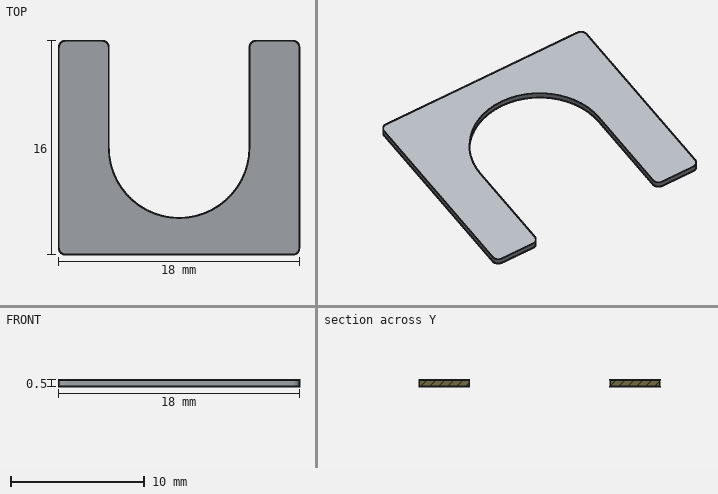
import cadquery as cq

width = 18.0
depth = 16.0
thickness = 0.5
corner_radius = 0.5

slot_width = 10.5
slot_radius = slot_width / 2
slot_center_y = 0.0


def make_plate():
    """Rectangular plate centred on the origin in X and Y, resting on Z = 0."""
    return cq.Workplane("XY").box(width, depth, thickness, centered=(True, True, False))


def make_slot():
    """Straight-sided slot with a semicircular closed end."""
    return (
        cq.Workplane("XY")
        .moveTo(-slot_radius, depth / 2)
        .lineTo(-slot_radius, slot_center_y)
        .threePointArc((0, slot_center_y - slot_radius), (slot_radius, slot_center_y))
        .lineTo(slot_radius, depth / 2)
        .close()
        .extrude(thickness)
    )


def round_corners(plate):
    """Round the four outer corners and the two corners at the slot mouth."""
    back_corners = plate.faces(">Y").edges("|Z")
    front_corners = plate.faces("<Y").edges("|Z")
    return plate.newObject(back_corners.vals() + front_corners.vals()).fillet(corner_radius)


result = round_corners(make_plate().cut(make_slot()))